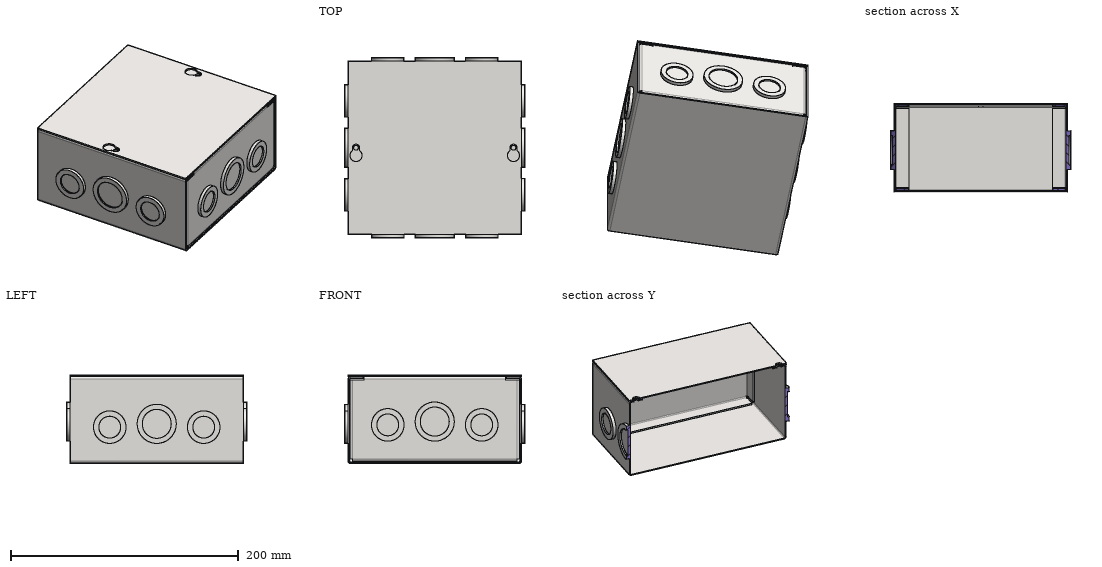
import cadquery as cq
import math

BOX_SIDE = 152.4
BOX_HEIGHT = 76.2
SHEET = 1.45
BEND_INNER = 0.75
BEND_OUTER = BEND_INNER + SHEET

FLANGE_WIDTH = 13.2

PLATE_CLEARANCE = 0.25
TAB_DEPTH = 13.0
LIP_GAP = 0.8
TOP_NOTCH_DROP = 0.6

KNOCKOUT_HEIGHT = 2.97
KNOCKOUT_RECESS = SHEET
LARGE_RING = 34.4
LARGE_MIDDLE = 25.5
SMALL_RING = 28.6
SMALL_MIDDLE = 19.2
KNOCKOUT_SPACING = 41.3
SIDE_KNOCKOUT_BASE = 17.6
END_KNOCKOUT_BASE = 19.6

KEYHOLE_X = 69.2
KEYHOLE_HEAD = 10.6
KEYHOLE_SLOT = 6.35
KEYHOLE_LENGTH = 6.8
SCREW_HOLE = 4.2

HALF_SIDE = BOX_SIDE / 2
WALL_INNER = HALF_SIDE - SHEET
FLANGE_END = HALF_SIDE - FLANGE_WIDTH


def add_knockouts(body, wall_plane, base):
    """Raise a row of recessed rings on a wall; the plane's Y axis points up from the underside."""
    row = (
        (-KNOCKOUT_SPACING, SMALL_RING, SMALL_MIDDLE),
        (0, LARGE_RING, LARGE_MIDDLE),
        (KNOCKOUT_SPACING, SMALL_RING, SMALL_MIDDLE),
    )
    recess_plane = wall_plane.workplane(offset=KNOCKOUT_HEIGHT - KNOCKOUT_RECESS)
    for along, ring, middle in row:
        centre = (along, base + ring / 2)
        disc = wall_plane.center(*centre).circle(ring / 2).extrude(KNOCKOUT_HEIGHT)
        recess = recess_plane.center(*centre).circle(middle / 2).extrude(KNOCKOUT_RECESS)
        body = body.union(disc).cut(recess)
    return body


def wall_face(direction):
    """Plane on the outside of the wall that faces the horizontal direction, upright in Z."""
    x, y = direction
    origin = (x * HALF_SIDE, y * HALF_SIDE, 0)
    return cq.Workplane(cq.Plane(origin, xDir=(-y, x, 0), normal=(x, y, 0)))


def make_wrapper():
    """Floor, side walls and inward flanges, bent from one sheet and open at both ends."""
    outside = (
        cq.Workplane("XY")
        .box(BOX_SIDE, BOX_SIDE, BOX_HEIGHT, centered=(True, True, False))
        .edges("|Y")
        .fillet(BEND_OUTER)
    )
    inside = (
        cq.Workplane("XY", origin=(0, 0, SHEET))
        .box(2 * WALL_INNER, BOX_SIDE, BOX_HEIGHT - 2 * SHEET, centered=(True, True, False))
        .edges("|Y")
        .fillet(BEND_INNER)
    )
    opening = (
        cq.Workplane("XY", origin=(0, 0, BOX_HEIGHT / 2))
        .box(2 * FLANGE_END, BOX_SIDE, BOX_HEIGHT, centered=(True, True, False))
    )
    screw_holes = (
        cq.Workplane("XY", origin=(0, 0, BOX_HEIGHT - SHEET))
        .pushPoints([(-KEYHOLE_X, 0), (KEYHOLE_X, 0)])
        .circle(SCREW_HOLE / 2)
        .extrude(SHEET)
    )
    body = outside.cut(inside).cut(opening).cut(screw_holes)
    for direction in ((-1, 0), (1, 0)):
        body = add_knockouts(body, wall_face(direction), SIDE_KNOCKOUT_BASE)
    return body


def make_bent_edge(length):
    """Bend and tab that leave a plate upwards, from a bend line on X at the plate's outer face."""
    diagonal = math.sin(math.radians(45))
    return (
        cq.Workplane("YZ")
        .moveTo(0, 0)
        .threePointArc(
            (BEND_OUTER * (1 - diagonal), BEND_OUTER * diagonal), (BEND_OUTER, BEND_OUTER)
        )
        .lineTo(TAB_DEPTH, BEND_OUTER)
        .lineTo(TAB_DEPTH, BEND_INNER)
        .lineTo(BEND_OUTER, BEND_INNER)
        .threePointArc(
            (BEND_OUTER - BEND_INNER * diagonal, BEND_INNER * diagonal), (SHEET, 0)
        )
        .close()
        .extrude(length / 2, both=True)
    )


def make_end_plate():
    """End plate at -Y with tabs on its sides and bottom and a lip along its top."""
    flat_half = WALL_INNER - PLATE_CLEARANCE - BEND_OUTER
    flat_bottom = SHEET + PLATE_CLEARANCE + BEND_OUTER
    lip_bend = BOX_HEIGHT - BEND_OUTER
    flat_top = lip_bend - TOP_NOTCH_DROP
    flat_height = flat_top - flat_bottom
    lip_length = 2 * (FLANGE_END - LIP_GAP)

    flat = (
        cq.Workplane("XY", origin=(0, 0, flat_bottom))
        .box(2 * flat_half, SHEET, flat_height, centered=(True, False, False))
    )
    lip_root = (
        cq.Workplane("XY", origin=(0, 0, flat_top))
        .box(lip_length, SHEET, TOP_NOTCH_DROP, centered=(True, False, False))
    )
    lip = make_bent_edge(lip_length).translate((0, 0, lip_bend))
    bottom_tab = (
        make_bent_edge(2 * flat_half)
        .rotate((0, 0, 0), (0, 1, 0), 180)
        .translate((0, 0, flat_bottom))
    )
    body = flat.union(lip_root).union(lip).union(bottom_tab)
    for side in (-1, 1):
        side_tab = (
            make_bent_edge(flat_height)
            .rotate((0, 0, 0), (0, 1, 0), 90 * side)
            .translate((side * flat_half, 0, flat_bottom + flat_height / 2))
        )
        body = body.union(side_tab)
    body = body.translate((0, -HALF_SIDE, 0))
    return add_knockouts(body, wall_face((0, -1)), END_KNOCKOUT_BASE)


def make_cover():
    """Flat cover on the flanges, with a keyhole over each screw hole."""
    top = cq.Workplane("XY", origin=(0, 0, BOX_HEIGHT))
    body = top.box(BOX_SIDE, BOX_SIDE, SHEET, centered=(True, True, False))
    for x in (-KEYHOLE_X, KEYHOLE_X):
        head = top.center(x, -KEYHOLE_LENGTH).circle(KEYHOLE_HEAD / 2).extrude(SHEET)
        slot = (
            top.center(x, -KEYHOLE_LENGTH / 2)
            .slot2D(KEYHOLE_LENGTH + KEYHOLE_SLOT, KEYHOLE_SLOT, 90)
            .extrude(SHEET)
        )
        body = body.cut(head).cut(slot)
    return body


wrapper = make_wrapper()
cover = make_cover()
end_plates = [
    make_end_plate().rotate((0, 0, 0), (0, 0, 1), turn) for turn in (0, 180)
]

result = cq.Compound.makeCompound(
    [wrapper.val(), cover.val(), *[plate.val() for plate in end_plates]]
)